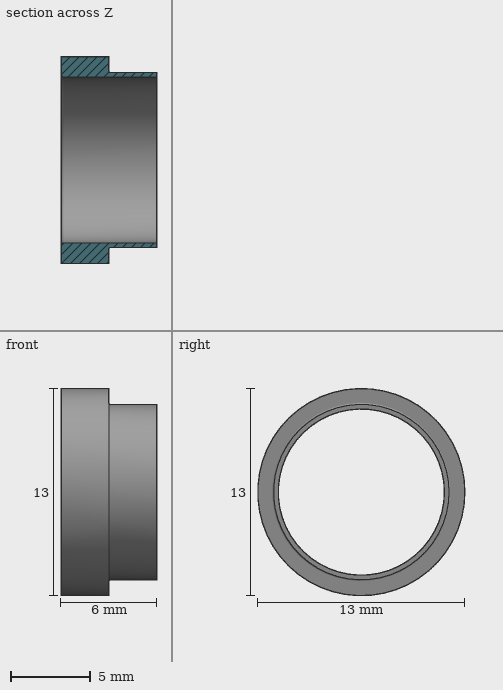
import cadquery as cq

flange_diameter = 13.0
sleeve_diameter = 11.0
bore_diameter = 10.4
total_length = 6.0
flange_length = total_length / 2
bore_entry_radius = 0.2
shoulder_fillet_radius = 0.1

flange_radius = flange_diameter / 2
sleeve_radius = sleeve_diameter / 2
bore_radius = bore_diameter / 2

half_section = (
    cq.Workplane("XY")
    .moveTo(0, bore_radius + bore_entry_radius)
    .lineTo(0, flange_radius)
    .lineTo(flange_length, flange_radius)
    .lineTo(flange_length, sleeve_radius + shoulder_fillet_radius)
    .radiusArc((flange_length + shoulder_fillet_radius, sleeve_radius), -shoulder_fillet_radius)
    .lineTo(total_length, sleeve_radius)
    .lineTo(total_length, bore_radius)
    .lineTo(bore_entry_radius, bore_radius)
    .radiusArc((0, bore_radius + bore_entry_radius), bore_entry_radius)
    .close()
)

result = half_section.revolve(360, (0, 0, 0), (1, 0, 0))